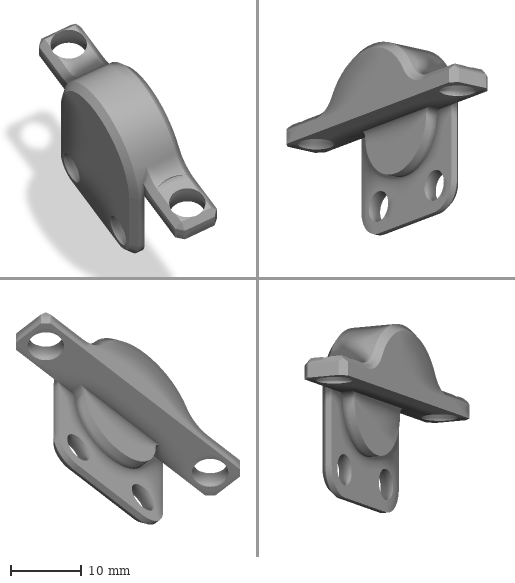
import cadquery as cq
import math

span = 40.0
depth = 8.9
chamfer = 1.0

body_width = 21.0
body_radius = body_width / 2
plate_thickness = 2.0
plate_bottom = -15.0
corner_radius = 4.0
plate_hole_diameter = 4.5

arm_height = 3.0
arm_depth = depth - plate_thickness
arm_middle_y = plate_thickness + arm_depth / 2
blend_radius = 4.0
arm_hole_x = 16.5
arm_hole_diameter = 5.15
screw_head_diameter = 10.0

boss_radius = 7.1
boss_thickness = 1.9
boss_blend = 0.9


def front_sketch(y):
    """Workplane at depth y with local axes X and Z, extruding towards +Y with a negative distance."""
    return cq.Workplane("XZ", origin=(0, y, 0))


def make_plate():
    corner_x = body_radius - corner_radius
    corner_z = plate_bottom + corner_radius
    diagonal = corner_radius * math.sqrt(0.5)
    return (
        front_sketch(0)
        .moveTo(body_radius, 0)
        .threePointArc((0, body_radius), (-body_radius, 0))
        .lineTo(-body_radius, corner_z)
        .threePointArc((-corner_x - diagonal, corner_z - diagonal), (-corner_x, plate_bottom))
        .lineTo(corner_x, plate_bottom)
        .threePointArc((corner_x + diagonal, corner_z - diagonal), (body_radius, corner_z))
        .close()
        .extrude(-plate_thickness)
        .faces("<Y")
        .chamfer(chamfer)
        .faces("<Y")
        .workplane(origin=(0, 0, 0))
        .pushPoints([(-corner_x, corner_z), (corner_x, corner_z)])
        .hole(plate_hole_diameter)
    )


def arm_and_dome_profile(y):
    """Closed outline of both arms and the dome, joined by tangent concave arcs."""
    blend_z = arm_height + blend_radius
    center_distance = body_radius + blend_radius
    blend_x = math.sqrt(center_distance**2 - blend_z**2)
    dome_x = blend_x * body_radius / center_distance
    dome_z = blend_z * body_radius / center_distance
    middle_angle = (math.atan2(blend_z, blend_x) + math.pi / 2) / 2
    middle_x = blend_x - blend_radius * math.cos(middle_angle)
    middle_z = blend_z - blend_radius * math.sin(middle_angle)
    return (
        front_sketch(y)
        .moveTo(-span / 2, 0)
        .lineTo(-span / 2, arm_height)
        .lineTo(-blend_x, arm_height)
        .threePointArc((-middle_x, middle_z), (-dome_x, dome_z))
        .threePointArc((0, body_radius), (dome_x, dome_z))
        .threePointArc((middle_x, middle_z), (blend_x, arm_height))
        .lineTo(span / 2, arm_height)
        .lineTo(span / 2, 0)
        .close()
    )


def make_arms():
    block = arm_and_dome_profile(plate_thickness).extrude(-arm_depth)
    block = block.faces(">Y").edges("not(<Z)").chamfer(chamfer)
    front_and_ends = block.faces("<Y or <X or >X").edges("not(<Z)")
    return front_and_ends.edges("<Y or (not |Z)").chamfer(chamfer)


def make_dome():
    """Half cylinder filling the dome between the plate and the back bevel."""
    return (
        front_sketch(plate_thickness)
        .moveTo(-body_radius, 0)
        .threePointArc((0, body_radius), (body_radius, 0))
        .close()
        .extrude(-(arm_depth - chamfer))
    )


def make_boss():
    outer = boss_radius + boss_blend
    turn = boss_blend * (1 - math.sqrt(0.5))
    return (
        front_sketch(plate_thickness)
        .moveTo(-outer, 0)
        .threePointArc((-boss_radius - turn, -turn), (-boss_radius, -boss_blend))
        .threePointArc((0, -boss_blend - boss_radius), (boss_radius, -boss_blend))
        .threePointArc((boss_radius + turn, -turn), (outer, 0))
        .close()
        .extrude(-boss_thickness)
    )


def arm_cylinders(diameter, base_z):
    """One vertical cutter through each arm, starting at height base_z."""
    return (
        cq.Workplane("XY", origin=(0, arm_middle_y, base_z))
        .pushPoints([(-arm_hole_x, 0), (arm_hole_x, 0)])
        .circle(diameter / 2)
        .extrude(body_radius)
    )


result = make_plate().union(make_arms()).union(make_dome()).union(make_boss())
result = result.cut(arm_cylinders(arm_hole_diameter, 0))
result = result.cut(arm_cylinders(screw_head_diameter, arm_height))